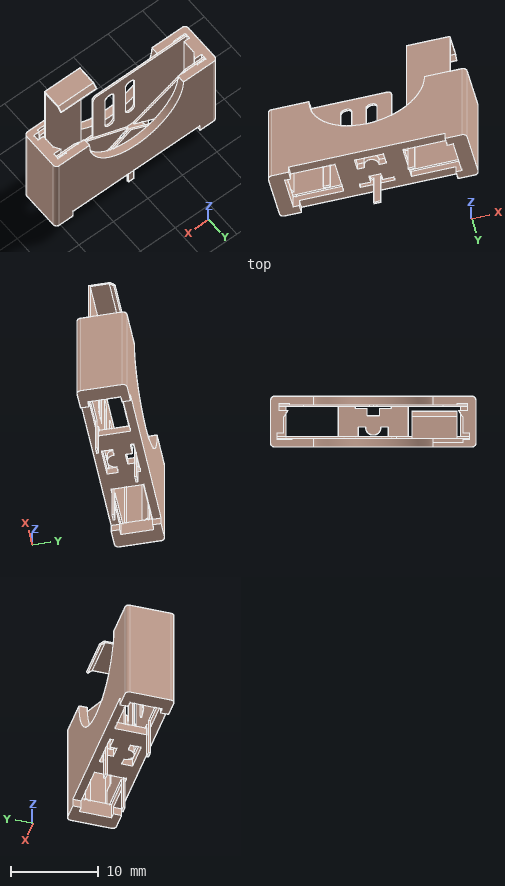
import cadquery as cq
import math

OVERALL_HEIGHT = 24.2

WIDTH = 23.4
DEPTH = 5.8
HEIGHT = 13.05
CORNER_RADIUS = 0.48
SCOOP_RADIUS = 6.8
FOOT_WIDTH = 2.5
FOOT_HEIGHT = 1.0

FLOOR_THICKNESS = 1.0
FLOOR_TOP = FOOT_HEIGHT + FLOOR_THICKNESS
BRIDGE_HALF_WIDTH = 4.0
OPENING_HALF_WIDTH = 9.93
REAR_NOTCH_WIDTH = 4.07
REAR_NOTCH_EDGE_Y = 1.5
PIN_HOLE_WIDTH = 1.4
PIN_HOLE_EDGE_Y = 0.68
FRONT_NOTCH_WIDTH = 3.41
FRONT_NOTCH_EDGE_Y = -0.63
TONGUE_RADIUS = 0.87
TONGUE_TIP_Y = -1.55

CAVITY_HALF_WIDTH = 10.2
RIDGE_HALF_WIDTH = 9.68
RIDGE_START_Y = 0.5
SLOT_INNER_Y = 1.28
RELIEF_DEPTH = 0.15
REAR_RELIEF_INNER_X = 9.51
FRONT_LEFT_RELIEF_INNER_X = 9.25
LEVER_RECESS_WIDTH = 0.45
LEVER_RECESS_DEPTH = 0.6

SHEET = 0.22
SHEET_OUTER_Y = 1.91
SHEET_INNER_Y = SHEET_OUTER_Y - SHEET
REAR_HALF_WIDTH = 10.7
FRONT_HALF_WIDTH = 10.97
PIN_WIDTH = 0.8
PIN_PITCH = 4.99
PIN_BOTTOM = -2.83

WING_TOP_HALF_WIDTH = 7.97
WING_TIP_X = 0.44
WING_TIP_Z = 9.05
PEAK_Z = 8.25
GAP_SLOPE = 0.66
GAP_END_X = 4.35
GAP_BEVEL = 0.3

BASE_TOP = 4.85
PANEL_RIGHT_X = 2.66
PANEL_RADIUS = 0.58
FINGER_SLOT_WIDTH = 1.3
FINGER_SLOT_TOP = 11.38
FINGER_SLOT_XS = (-2.69, 0.3)
LEVER_LEFT_X = 4.4
LEVER_RIGHT_X = 9.55
LEVER_TOP = PIN_BOTTOM + OVERALL_HEIGHT
HOOK_CREASE_Y = 0.6
HOOK_LIP_DROP = 0.58
HOOK_LIP_ANGLE = math.radians(45)


def block(x0, x1, y0, y1, z0, z1):
    """Box between two opposite corners."""
    return cq.Workplane("XY").box(x1 - x0, y1 - y0, z1 - z0, centered=False).translate((x0, y0, z0))


def cavity():
    """Space above the floor: sheet slots front and rear, with a sloped ridge beside the rear slot."""
    right_side = [
        (REAR_HALF_WIDTH, SHEET_OUTER_Y),
        (REAR_HALF_WIDTH, SLOT_INNER_Y),
        (RIDGE_HALF_WIDTH, SLOT_INNER_Y),
        (CAVITY_HALF_WIDTH, RIDGE_START_Y),
        (CAVITY_HALF_WIDTH, -SLOT_INNER_Y),
        (FRONT_HALF_WIDTH, -SLOT_INNER_Y),
        (FRONT_HALF_WIDTH, -SHEET_OUTER_Y),
    ]
    left_side = [(-x, y) for x, y in reversed(right_side)]
    return (
        cq.Workplane("XY", origin=(0, 0, FLOOR_TOP))
        .polyline(right_side + left_side)
        .close()
        .extrude(HEIGHT - FLOOR_TOP)
    )


def slot_reliefs():
    """Clearance behind the outer face of each sheet, at its ends."""
    near, far = SHEET_OUTER_Y, SHEET_OUTER_Y + RELIEF_DEPTH
    rear_right = block(REAR_RELIEF_INNER_X, REAR_HALF_WIDTH, near, far, FLOOR_TOP, HEIGHT)
    rear_left = rear_right.mirror("YZ")
    front_left = block(-FRONT_HALF_WIDTH, -FRONT_LEFT_RELIEF_INNER_X, -far, -near, FLOOR_TOP, HEIGHT)
    front_right = block(CAVITY_HALF_WIDTH, FRONT_HALF_WIDTH, -far, -near, FLOOR_TOP, HEIGHT)
    return rear_right.add(rear_left).add(front_left).add(front_right).combine()


def lever_recess():
    """Shallow step in the top of the front wall, from the scoop to the right end of the cavity."""
    wall_y = -SHEET_OUTER_Y
    floor_z = HEIGHT - LEVER_RECESS_DEPTH
    return block(0, CAVITY_HALF_WIDTH, wall_y - LEVER_RECESS_WIDTH, wall_y, floor_z, HEIGHT)


def floor_openings():
    """Two side openings, the rear pin notch and the front notch with its round tongue."""
    y = SHEET_OUTER_Y
    right = block(BRIDGE_HALF_WIDTH, OPENING_HALF_WIDTH, -y, y, 0, FLOOR_TOP)
    left = right.mirror("YZ")
    rear = block(-REAR_NOTCH_WIDTH / 2, REAR_NOTCH_WIDTH / 2, REAR_NOTCH_EDGE_Y, y, 0, FLOOR_TOP)
    pin_hole = block(-PIN_HOLE_WIDTH / 2, PIN_HOLE_WIDTH / 2, PIN_HOLE_EDGE_Y, y, 0, FLOOR_TOP)
    front = block(-FRONT_NOTCH_WIDTH / 2, FRONT_NOTCH_WIDTH / 2, -y, FRONT_NOTCH_EDGE_Y, 0, FLOOR_TOP)
    tongue = (
        cq.Workplane("XY").center(0, TONGUE_TIP_Y + TONGUE_RADIUS).circle(TONGUE_RADIUS).extrude(FLOOR_TOP)
    )
    return right.union(left).union(rear).union(pin_hole).union(front.cut(tongue))


def make_housing():
    foot_inner_x = WIDTH / 2 - FOOT_WIDTH
    scoop = cq.Workplane("XZ").center(0, HEIGHT).circle(SCOOP_RADIUS).extrude(DEPTH, both=True)
    return (
        cq.Workplane("XY")
        .rect(WIDTH, DEPTH)
        .extrude(HEIGHT)
        .edges("|Z")
        .fillet(CORNER_RADIUS)
        .cut(block(-foot_inner_x, foot_inner_x, -DEPTH, DEPTH, 0, FOOT_HEIGHT))
        .cut(cavity())
        .cut(slot_reliefs())
        .cut(floor_openings())
        .cut(scoop)
        .cut(lever_recess())
    )


def pin(x, y0):
    """Solder pin centred at x, reaching down from the floor top, with its front face at y0."""
    return block(x - PIN_WIDTH / 2, x + PIN_WIDTH / 2, y0, y0 + SHEET, PIN_BOTTOM, FLOOR_TOP)


def rear_sheet(points):
    """Plate with the given X-Z outline in the rear slot."""
    return cq.Workplane("XZ", origin=(0, SHEET_OUTER_Y, 0)).polyline(points).close().extrude(SHEET)


def wing_gap():
    """Gap under both wings and over the peak, bevelled at its lower outer corners."""
    bevel_x = GAP_END_X - GAP_BEVEL
    bevel_z = PEAK_Z - GAP_SLOPE * bevel_x
    right_side = [
        (WING_TIP_X, WING_TIP_Z),
        (GAP_END_X, WING_TIP_Z - GAP_SLOPE * (GAP_END_X - WING_TIP_X)),
        (GAP_END_X, bevel_z + GAP_BEVEL),
        (bevel_x, bevel_z),
    ]
    left_side = [(-x, z) for x, z in reversed(right_side)]
    return rear_sheet(right_side + [(0, PEAK_Z)] + left_side)


def make_rear_contact():
    plate = block(-REAR_HALF_WIDTH, REAR_HALF_WIDTH, SHEET_INNER_Y, SHEET_OUTER_Y, FLOOR_TOP, HEIGHT)
    top_vee = rear_sheet([
        (-WING_TOP_HALF_WIDTH, HEIGHT),
        (-WING_TIP_X, WING_TIP_Z),
        (WING_TIP_X, WING_TIP_Z),
        (WING_TOP_HALF_WIDTH, HEIGHT),
    ])
    return plate.cut(top_vee).cut(wing_gap()).union(pin(0, SHEET_INNER_Y))


def finger_slot(x):
    """Slot with round ends through the front panel."""
    length = FINGER_SLOT_TOP - BASE_TOP
    return (
        cq.Workplane("XZ")
        .center(x, BASE_TOP + length / 2)
        .slot2D(length, FINGER_SLOT_WIDTH, 90)
        .extrude(DEPTH)
    )


def make_lever():
    """Upright strip bent back at the top into a hook with a lip that slopes down."""
    inner_crease_y = HOOK_CREASE_Y - SHEET * math.tan(HOOK_LIP_ANGLE / 2)
    lip_y = HOOK_CREASE_Y + HOOK_LIP_DROP / math.tan(HOOK_LIP_ANGLE)
    lip_z = LEVER_TOP - HOOK_LIP_DROP
    return (
        cq.Workplane("YZ", origin=(LEVER_LEFT_X, 0, 0))
        .polyline([
            (-SHEET_OUTER_Y, FLOOR_TOP),
            (-SHEET_OUTER_Y, LEVER_TOP),
            (HOOK_CREASE_Y, LEVER_TOP),
            (lip_y, lip_z),
            (lip_y - SHEET * math.sin(HOOK_LIP_ANGLE), lip_z - SHEET * math.cos(HOOK_LIP_ANGLE)),
            (inner_crease_y, LEVER_TOP - SHEET),
            (-SHEET_INNER_Y, LEVER_TOP - SHEET),
            (-SHEET_INNER_Y, FLOOR_TOP),
        ])
        .close()
        .extrude(LEVER_RIGHT_X - LEVER_LEFT_X)
    )


def make_front_contact():
    y0, y1 = -SHEET_OUTER_Y, -SHEET_INNER_Y
    base = block(-FRONT_HALF_WIDTH, FRONT_HALF_WIDTH, y0, y1, FLOOR_TOP, BASE_TOP)
    panel = block(-FRONT_HALF_WIDTH, PANEL_RIGHT_X, y0, y1, FLOOR_TOP, HEIGHT)
    contact = base.union(panel.edges("|Y and >X and >Z").fillet(PANEL_RADIUS)).union(make_lever())
    for x in FINGER_SLOT_XS:
        contact = contact.cut(finger_slot(x))
    for x in (-PIN_PITCH, PIN_PITCH):
        contact = contact.union(pin(x, y0))
    return contact


housing = make_housing()
rear_contact = make_rear_contact()
front_contact = make_front_contact()
result = cq.Compound.makeCompound([
    housing.solids().val(),
    rear_contact.solids().val(),
    front_contact.solids().val(),
])